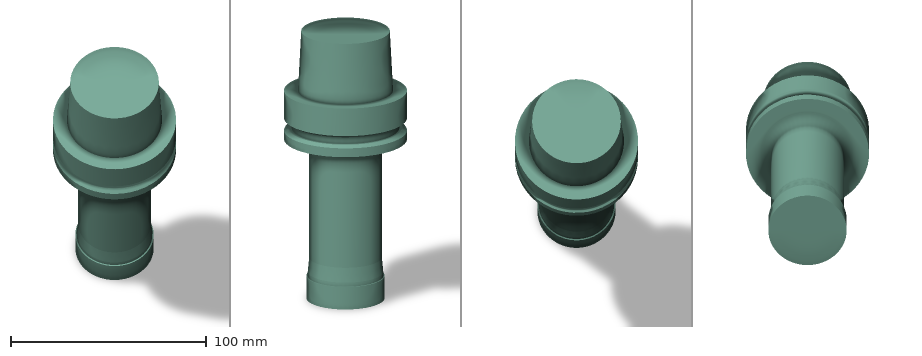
import cadquery as cq

TOTAL_HEIGHT = 142.9
NUT_HEIGHT = 12.0
NECK_HEIGHT = 2.1
FLARE_HEIGHT = 7.7
FLANGE_BOTTOM = 85.0
FLANGE_TOP = 111.0
GROOVE_BOTTOM = 91.0
GROOVE_TOP = 95.0
GROOVE_BEVEL_HEIGHT = 1.3

NUT_DIAMETER = 40.0
NECK_DIAMETER = 38.6
SHANK_DIAMETER = 37.2
FLANGE_DIAMETER = 62.9
GROOVE_DIAMETER = 55.0
GROOVE_MOUTH_DIAMETER = 58.6
TAPER_BASE_DIAMETER = 48.6
TAPER_TOP_DIAMETER = 45.3

SHANK_FILLET = 5.0


def make_holder():
    """Revolved tool holder: neck, flare, shank, grooved flange and taper."""
    neck_top = NUT_HEIGHT + NECK_HEIGHT
    flare_top = neck_top + FLARE_HEIGHT
    shank_radius = SHANK_DIAMETER / 2
    fillet_start = FLANGE_BOTTOM - SHANK_FILLET
    fillet_outer_radius = shank_radius + SHANK_FILLET
    fillet_mid_offset = SHANK_FILLET * 0.5**0.5
    fillet_mid = (fillet_outer_radius - fillet_mid_offset, fillet_start + fillet_mid_offset)

    profile = (
        cq.Workplane("XZ")
        .moveTo(0, NUT_HEIGHT)
        .lineTo(NECK_DIAMETER / 2, NUT_HEIGHT)
        .lineTo(NECK_DIAMETER / 2, neck_top)
        .lineTo(shank_radius, flare_top)
        .lineTo(shank_radius, fillet_start)
        .threePointArc(fillet_mid, (fillet_outer_radius, FLANGE_BOTTOM))
        .lineTo(FLANGE_DIAMETER / 2, FLANGE_BOTTOM)
        .lineTo(FLANGE_DIAMETER / 2, GROOVE_BOTTOM - GROOVE_BEVEL_HEIGHT)
        .lineTo(GROOVE_MOUTH_DIAMETER / 2, GROOVE_BOTTOM)
        .lineTo(GROOVE_DIAMETER / 2, GROOVE_BOTTOM)
        .lineTo(GROOVE_DIAMETER / 2, GROOVE_TOP)
        .lineTo(GROOVE_MOUTH_DIAMETER / 2, GROOVE_TOP)
        .lineTo(FLANGE_DIAMETER / 2, GROOVE_TOP + GROOVE_BEVEL_HEIGHT)
        .lineTo(FLANGE_DIAMETER / 2, FLANGE_TOP)
        .lineTo(TAPER_BASE_DIAMETER / 2, FLANGE_TOP)
        .lineTo(TAPER_TOP_DIAMETER / 2, TOTAL_HEIGHT)
        .lineTo(0, TOTAL_HEIGHT)
        .close()
    )
    return profile.revolve(360, (0, 0, 0), (0, 1, 0))


def make_nut():
    """Plain round nut seated against the lower end of the holder."""
    return cq.Workplane("XY").circle(NUT_DIAMETER / 2).extrude(NUT_HEIGHT)


holder = make_holder()
nut = make_nut()

result = cq.Compound.makeCompound([holder.val(), nut.val()])